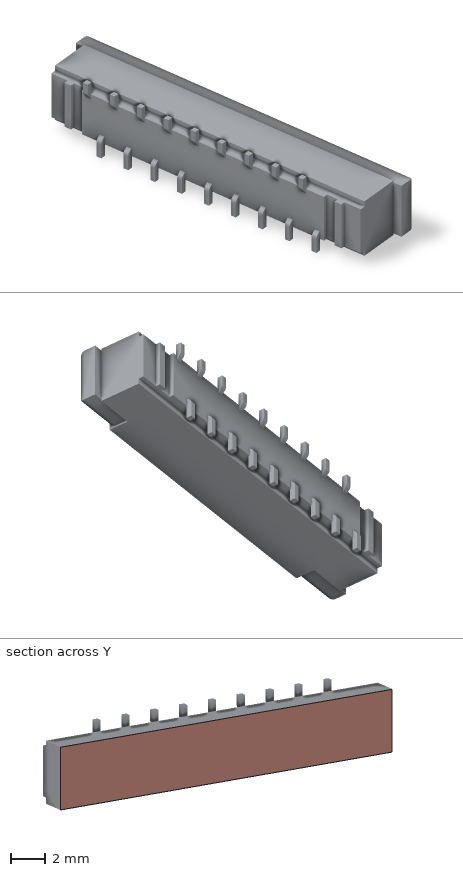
import cadquery as cq

overall_depth = 5.0
lead_span = 4.8
back_y = overall_depth / 2

flange_width = 24.2
flange_height = 3.6
flange_thickness = 1.3
flange_fillet = 0.5

housing_width = 23.0
housing_height = 3.85
housing_end = 4.05
neck_height = 3.1
neck_end = 4.4
pad_end = 4.7
pad_width = 18.0
rib_width = 0.5
rib_center_x = 10.05

key_width = pad_width

lead_count = 9
lead_pitch = 2.0
lead_width = 0.35
lead_thickness = 0.35
row_offset = lead_pitch / 4
lead_bend_radius = 0.3
upper_lead_bend = 1.65
upper_lead_meeting = 1.22
lower_lead_bend = 1.26
lower_lead_meeting = 1.02


def block(width, height, start, end, x=0, z=0):
    """Box between two depths, centred on the given X and Z."""
    center_y = back_y - (start + end) / 2
    return cq.Workplane("XY").box(width, end - start, height).translate((x, center_y, z))


def make_flange():
    flange = block(flange_width, flange_height, 0, flange_thickness)
    return flange.faces(">Y").edges().fillet(flange_fillet)


def make_key():
    """Fills the step under the flange and stays level with the housing underside."""
    height = housing_height / 2
    return block(key_width, height, 0, flange_thickness, z=-height / 2)


def make_lead(x, direction, bend_height, meeting_height):
    """Lead pointing up (direction 1) or down (-1) whose inner end slopes into the pad."""
    front = -back_y
    back = front + lead_thickness
    slope = (bend_height - meeting_height) / (overall_depth - pad_end)
    tip = direction * lead_span / 2
    bend = direction * bend_height
    inner = direction * (bend_height - slope * lead_thickness)
    profile = [(front, tip), (back, tip), (back, inner), (front, bend)]
    lead = cq.Workplane("YZ").polyline(profile).close().extrude(lead_width / 2, both=True)
    bend_edge = cq.selectors.NearestToPointSelector((0, front, bend))
    lead = lead.edges("|X").edges(bend_edge).fillet(lead_bend_radius)
    return lead.translate((x, 0, 0))


def make_housing():
    housing = block(housing_width, housing_height, flange_thickness, housing_end)
    housing = housing.union(block(housing_width, neck_height, housing_end, neck_end))
    housing = housing.union(block(pad_width, neck_height, neck_end, pad_end))
    for side in (-1, 1):
        rib = block(rib_width, neck_height, neck_end, pad_end, x=side * rib_center_x)
        housing = housing.union(rib)
    return housing


result = make_housing().union(make_flange()).union(make_key())

for index in range(lead_count):
    x = (index - (lead_count - 1) / 2) * lead_pitch
    result = result.union(make_lead(x - row_offset, 1, upper_lead_bend, upper_lead_meeting))
    result = result.union(make_lead(x + row_offset, -1, lower_lead_bend, lower_lead_meeting))